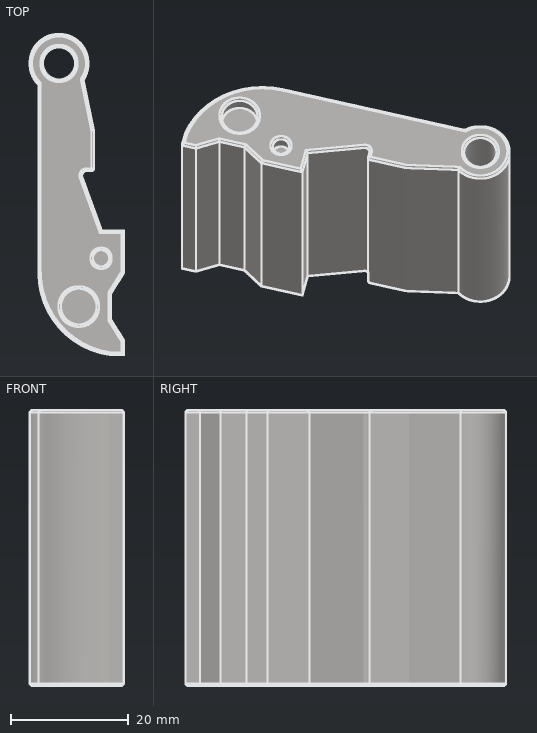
import cadquery as cq
import math

HEIGHT = 46.89
LENGTH = 54.51
WIDTH = 16.02
EDGE_CHAMFER = 0.4

EYE_RADIUS = 5.0
EYE_BORE_DIAMETER = 5.5

BACK_X = -3.5
HEEL_START_Y = -35.5
HEEL_END_X = 8.7
TOE_X = WIDTH - EYE_RADIUS
BOTTOM_Y = EYE_RADIUS - LENGTH

NECK_X = 4.15
LAND_X = 5.95
LAND_TOP_Y = -11.5
STEP_Y = -18.25
STEP_OUTER_RADIUS = 0.5
STEP_INNER_RADIUS = 0.8
RAMP_ANGLE = 20.0
SHOULDER_Y = -28.4
RAMP_END_X = 7.25

NOTCH_CENTER_Y = -41.3
NOTCH_MOUTH = 11.5
NOTCH_FLOOR = 4.4
NOTCH_FLOOR_X = 8.8

LARGE_HOLE_DIAMETER = 6.1
LARGE_HOLE_CENTER = (3.35, NOTCH_CENTER_Y)
BLIND_HOLE_DEPTH = 3.1
SMALL_HOLE_DIAMETER = 2.8
SMALL_HOLE_CENTER = (7.15, -33.1)


def heel_midpoint():
    """Middle of the heel arc, which leaves the back flank tangentially and ends on the bottom."""
    run = HEEL_END_X - BACK_X
    drop = HEEL_START_Y - BOTTOM_Y
    radius = (run**2 + drop**2) / (2 * run)
    half_sweep = math.atan2(drop, radius - run) / 2
    return (
        BACK_X + radius * (1 - math.cos(half_sweep)),
        HEEL_START_Y - radius * math.sin(half_sweep),
    )


def make_body():
    """Lever profile extruded to full height, with rounded step corners and chamfered ends."""
    back_eye_y = -math.sqrt(EYE_RADIUS**2 - BACK_X**2)
    neck_y = -math.sqrt(EYE_RADIUS**2 - NECK_X**2)
    step_inner_x = RAMP_END_X - (STEP_Y - SHOULDER_Y) * math.tan(math.radians(RAMP_ANGLE))
    body = (
        cq.Workplane("XY")
        .moveTo(BACK_X, back_eye_y)
        .lineTo(BACK_X, HEEL_START_Y)
        .threePointArc(heel_midpoint(), (HEEL_END_X, BOTTOM_Y))
        .lineTo(TOE_X, BOTTOM_Y)
        .lineTo(TOE_X, NOTCH_CENTER_Y - NOTCH_MOUTH / 2)
        .lineTo(NOTCH_FLOOR_X, NOTCH_CENTER_Y - NOTCH_FLOOR / 2)
        .lineTo(NOTCH_FLOOR_X, NOTCH_CENTER_Y + NOTCH_FLOOR / 2)
        .lineTo(TOE_X, NOTCH_CENTER_Y + NOTCH_MOUTH / 2)
        .lineTo(TOE_X, SHOULDER_Y)
        .lineTo(RAMP_END_X, SHOULDER_Y)
        .lineTo(step_inner_x, STEP_Y)
        .lineTo(LAND_X, STEP_Y)
        .lineTo(LAND_X, LAND_TOP_Y)
        .lineTo(NECK_X, neck_y)
        .threePointArc((0, EYE_RADIUS), (BACK_X, back_eye_y))
        .close()
        .extrude(HEIGHT)
    )
    body = round_step_corner(body, step_inner_x, STEP_INNER_RADIUS)
    body = round_step_corner(body, LAND_X, STEP_OUTER_RADIUS)
    return body.faces("<Z or >Z").chamfer(EDGE_CHAMFER)


def round_step_corner(body, corner_x, radius):
    """Fillet the vertical edge of the step found at corner_x."""
    corner = cq.selectors.NearestToPointSelector((corner_x, STEP_Y, HEIGHT / 2))
    return body.edges("|Z").edges(corner).fillet(radius)


def hole_cutter(center, diameter, bottom_z):
    """Cylinder from bottom_z to the top face, flared by the edge chamfer at the top."""
    shaft = cq.Workplane("XY", origin=(*center, bottom_z)).circle(diameter / 2).extrude(HEIGHT - bottom_z)
    flare = (
        cq.Workplane("XY", origin=(*center, HEIGHT))
        .circle(diameter / 2 + EDGE_CHAMFER)
        .workplane(offset=-EDGE_CHAMFER)
        .circle(diameter / 2)
        .loft()
    )
    return shaft.union(flare)


def eye_bore_cutter():
    """Through bore of the eye, chamfered at both ends."""
    upper = hole_cutter((0, 0), EYE_BORE_DIAMETER, 0)
    lower = upper.mirror("XY", (0, 0, HEIGHT / 2))
    return upper.union(lower)


result = (
    make_body()
    .cut(eye_bore_cutter())
    .cut(hole_cutter(LARGE_HOLE_CENTER, LARGE_HOLE_DIAMETER, HEIGHT - BLIND_HOLE_DEPTH))
    .cut(hole_cutter(SMALL_HOLE_CENTER, SMALL_HOLE_DIAMETER, HEIGHT - BLIND_HOLE_DEPTH))
)